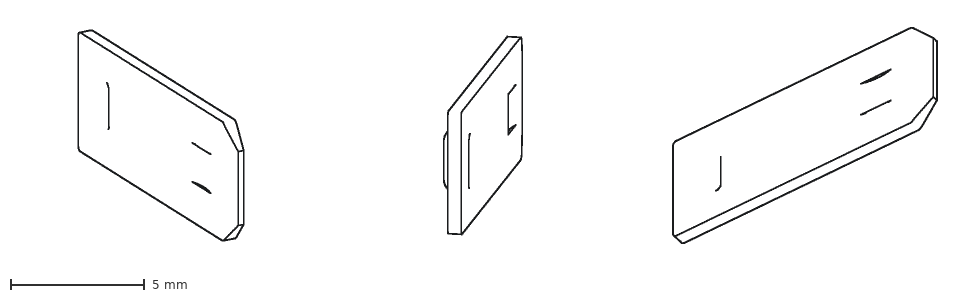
import cadquery as cq
import math

LENGTH = 11.89
HEIGHT = 4.75
THICKNESS = 0.51
CORNER_RADIUS = 0.165

TIP_CHAMFER = 0.9
TIP_BEVEL_LENGTH = 0.77
TIP_BEVEL_ANGLE = 10.0

RIB_FROM_LEFT_END = 1.905
RIB_STRAIGHT_LENGTH = 1.45
BUMP_RADIUS = 0.54
GROOVE_HALF_WIDTH = 0.55
GROOVE_ROOT_RADIUS = 0.035
GROOVE_FLARE_RADIUS = GROOVE_HALF_WIDTH - GROOVE_ROOT_RADIUS

RECESS_WIDTH = 1.4
RECESS_HEIGHT = 1.55
RECESS_RADIUS = 2.5
RECESS_FROM_TIP = 2.55

FRONT_Y = -(THICKNESS + BUMP_RADIUS) / 2
BACK_Y = FRONT_Y + THICKNESS
LEFT_X = -LENGTH / 2
RIGHT_X = LENGTH / 2
RIB_X = LEFT_X + RIB_FROM_LEFT_END
RIB_HALF = RIB_STRAIGHT_LENGTH / 2
RECESS_X = RIGHT_X - RECESS_FROM_TIP


def make_plate():
    """Plate with two clipped corners at the tip; the corners on the long sides are rounded."""
    half_height = HEIGHT / 2
    outline = cq.Workplane("XZ", origin=(0, FRONT_Y, 0)).polyline([
        (LEFT_X, -half_height),
        (RIGHT_X - TIP_CHAMFER, -half_height),
        (RIGHT_X, -half_height + TIP_CHAMFER),
        (RIGHT_X, half_height - TIP_CHAMFER),
        (RIGHT_X - TIP_CHAMFER, half_height),
        (LEFT_X, half_height),
    ]).close()
    plate = outline.extrude(-THICKNESS)
    return plate.edges("|Y").edges("<Z or >Z").fillet(CORNER_RADIUS)


def make_bevel_cutter(face_y, inward):
    """Wedge that thins the tip from one face; inward is +1 or -1 along Y."""
    drop = TIP_BEVEL_LENGTH * math.tan(math.radians(TIP_BEVEL_ANGLE))
    return (
        cq.Workplane("XY")
        .polyline([
            (RIGHT_X - TIP_BEVEL_LENGTH, face_y),
            (RIGHT_X, face_y),
            (RIGHT_X, face_y + inward * drop),
        ])
        .close()
        .extrude(HEIGHT / 2, both=True)
    )


def round_ended_rib(half_profile):
    """Rib along Z with revolved ends, from a half profile that starts on the line x = RIB_X."""
    half = half_profile.extrude(RIB_HALF, both=True)
    straight = half.union(half.mirror("YZ", (RIB_X, 0, 0)))
    lower_end = (
        half_profile.toPending()
        .revolve(180, (RIB_X, 0, 0), (RIB_X, 1, 0))
        .translate((0, 0, -RIB_HALF))
    )
    return straight.union(lower_end).union(lower_end.mirror("XY"))


def make_bump():
    """Half-round rib with quarter-sphere ends, standing on the back face."""
    diagonal = BUMP_RADIUS * math.sqrt(0.5)
    half_profile = (
        cq.Workplane("XY")
        .moveTo(RIB_X, BACK_Y)
        .lineTo(RIB_X + BUMP_RADIUS, BACK_Y)
        .threePointArc(
            (RIB_X + diagonal, BACK_Y + diagonal),
            (RIB_X, BACK_Y + BUMP_RADIUS),
        )
        .close()
    )
    return round_ended_rib(half_profile)


def make_groove():
    """Groove flared out to the front face, narrowing to a small round root."""
    root_y = FRONT_Y + GROOVE_FLARE_RADIUS
    flare_diagonal = GROOVE_FLARE_RADIUS * math.sqrt(0.5)
    root_diagonal = GROOVE_ROOT_RADIUS * math.sqrt(0.5)
    half_profile = (
        cq.Workplane("XY")
        .moveTo(RIB_X, FRONT_Y)
        .lineTo(RIB_X + GROOVE_HALF_WIDTH, FRONT_Y)
        .threePointArc(
            (RIB_X + GROOVE_HALF_WIDTH - flare_diagonal, root_y - flare_diagonal),
            (RIB_X + GROOVE_ROOT_RADIUS, root_y),
        )
        .threePointArc(
            (RIB_X + root_diagonal, root_y + root_diagonal),
            (RIB_X, root_y + GROOVE_ROOT_RADIUS),
        )
        .close()
    )
    return round_ended_rib(half_profile)


def make_recess():
    """Shallow cylinder segment, axis along Z, sunk into the front face."""
    half_width = RECESS_WIDTH / 2
    depth = RECESS_RADIUS - math.sqrt(RECESS_RADIUS**2 - half_width**2)
    return (
        cq.Workplane("XY")
        .moveTo(RECESS_X - half_width, FRONT_Y)
        .threePointArc(
            (RECESS_X, FRONT_Y + depth),
            (RECESS_X + half_width, FRONT_Y),
        )
        .close()
        .extrude(RECESS_HEIGHT / 2, both=True)
    )


result = (
    make_plate()
    .cut(make_bevel_cutter(FRONT_Y, 1))
    .cut(make_bevel_cutter(BACK_Y, -1))
    .union(make_bump())
    .cut(make_groove())
    .cut(make_recess())
)